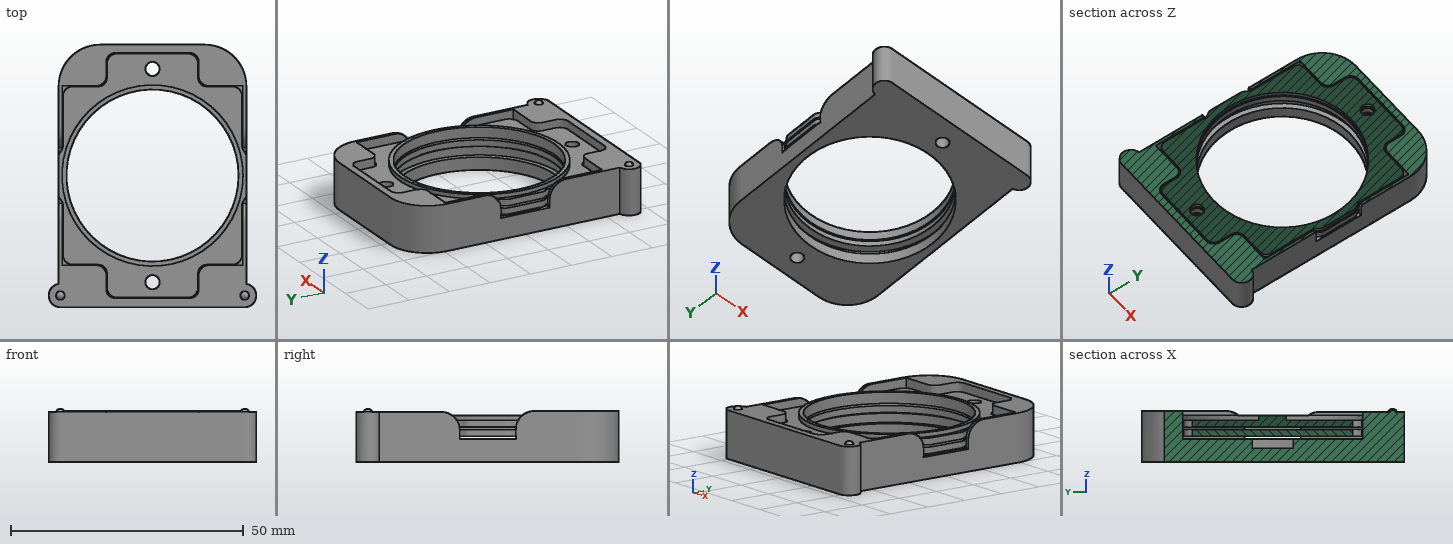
import cadquery as cq
import math


body_half_width = 20.2
body_back = 28.15
back_corner_radius = 9.0
front_height = 10.8
back_height = 11.0
body_front = -28.3
ear_half_span = 22.3
ear_radius = 2.5
ear_flat = 0.05
ear_width = 2 * ear_radius + ear_flat
ear_y = body_front + ear_width / 2

pip_sphere_radius = 1.0
pip_height = 0.65
pip_x = 19.8

pocket_floor = 5.0
pocket_half_width = 19.4
pocket_half_length = 19.3
tab_half_width = 9.95
tab_half_length = 26.35
outline_radius = 2.0

bore_diameter = 36.9
recess_diameter = 39.4
recess_floor = 3.0
hole_diameter = 3.0
hole_y = 22.9

window_half_length = 6.0
window_lip_radius = 4.0

clearance = 0.2
plate_thickness = 1.5
lower_plate_z = pocket_floor + 0.5
plate_gap = 0.5
upper_plate_z = lower_plate_z + plate_thickness + plate_gap
finger_flat_half_length = 3.9
ring_diameter = 38.9
ring_height = 1.0


def block(x_min, x_max, y_min, y_max, z_min, z_max):
    """Box given by its limits along each axis."""
    return cq.Workplane("XY").box(
        x_max - x_min, y_max - y_min, z_max - z_min, centered=False
    ).translate((x_min, y_min, z_min))


def cylinder(diameter, z_min, z_max, y=0.0):
    """Upright cylinder on the Y axis of the part."""
    return cq.Workplane("XY", origin=(0, y, z_min)).circle(diameter / 2).extrude(z_max - z_min)


def screw_holes(z_min, z_max):
    """Pair of screw holes, one at each end of the cross."""
    return cylinder(hole_diameter, z_min, z_max, hole_y).union(
        cylinder(hole_diameter, z_min, z_max, -hole_y)
    )


def tab_region():
    """Selector for everything near the tabs, which leaves out the corners of the square."""
    reach_x = tab_half_width + outline_radius
    return cq.selectors.BoxSelector((-reach_x, -body_back, 0), (reach_x, body_back, back_height))


def cross(inset, z_min, z_max):
    """Square with a narrower tab at each end; tab corners and inner corners are rounded."""
    half_width = pocket_half_width - inset
    half_length = pocket_half_length - inset
    tab_width = tab_half_width - inset
    tab_end = tab_half_length - inset
    square = block(-half_width, half_width, -half_length, half_length, z_min, z_max)
    tabs = block(-tab_width, tab_width, -tab_end, tab_end, z_min, z_max)
    return square.union(tabs).edges("|Z").edges(tab_region()).fillet(outline_radius)


def window_cutter(side):
    """Opening through one side wall, with its upper edges rounded outwards."""
    arc_mid = window_lip_radius * math.sqrt(0.5)
    lip_y = window_half_length + window_lip_radius
    back_lip_z = back_height - window_lip_radius
    front_lip_z = front_height - window_lip_radius
    profile = (
        cq.Workplane("YZ")
        .moveTo(-window_half_length, pocket_floor)
        .lineTo(window_half_length, pocket_floor)
        .lineTo(window_half_length, back_lip_z)
        .threePointArc((lip_y - arc_mid, back_lip_z + arc_mid), (lip_y, back_height))
        .lineTo(-lip_y, back_height)
        .lineTo(-lip_y, front_height)
        .threePointArc((-lip_y + arc_mid, front_lip_z + arc_mid), (-window_half_length, front_lip_z))
        .close()
    )
    inner_x = pocket_half_width - clearance
    return profile.extrude(side * (body_half_width - inner_x)).translate((side * inner_x, 0, 0))


def pip(x):
    """Low dome on an ear: the top of a sphere sunk into the housing."""
    sphere_centre_z = front_height + pip_height - pip_sphere_radius
    return cq.Workplane("XY", origin=(x, ear_y, sphere_centre_z)).sphere(pip_sphere_radius)


def make_housing():
    """Tray with a cross-shaped pocket, two eared front corners and a lower front rim."""
    body = block(-body_half_width, body_half_width, body_front, body_back, 0, back_height)
    body = body.edges("|Z and >Y").fillet(back_corner_radius)
    body = body.cut(block(-body_half_width, body_half_width, body_front, 0, front_height, back_height))
    ears = block(-ear_half_span, ear_half_span, body_front, body_front + ear_width, 0, front_height)
    ears = ears.edges("|Z").fillet(ear_radius)
    front_strip = block(-body_half_width, body_half_width, body_front, ear_y, 0, front_height)
    body = body.cut(front_strip).union(ears)
    body = body.cut(cross(0, pocket_floor, back_height))
    for side in (-1, 1):
        body = body.cut(window_cutter(side))
        body = body.union(pip(side * pip_x))
    body = body.cut(cylinder(bore_diameter, 0, recess_floor))
    body = body.cut(cylinder(recess_diameter, recess_floor, pocket_floor))
    return body.cut(screw_holes(0, pocket_floor))


def finger(side, z_min):
    """Side finger whose ends sweep back to the plate edge in two equal arcs."""
    root_x = pocket_half_width - clearance
    tip_x = body_half_width
    reach = tip_x - root_x
    sweep = math.acos(1 - reach / (2 * outline_radius))
    arc_span_y = outline_radius * math.sin(sweep)
    arc_mid_y = outline_radius * math.sin(sweep / 2)
    arc_mid_x = outline_radius * (1 - math.cos(sweep / 2))
    middle = (root_x + reach / 2, finger_flat_half_length + arc_span_y)
    tip_arc_mid = (tip_x - arc_mid_x, finger_flat_half_length + arc_mid_y)
    root = (root_x, middle[1] + arc_span_y)
    root_arc_mid = (root_x + arc_mid_x, root[1] - arc_mid_y)
    half_profile = (
        cq.Workplane("XY", origin=(0, 0, z_min))
        .moveTo(0, 0)
        .lineTo(tip_x, 0)
        .lineTo(tip_x, finger_flat_half_length)
        .threePointArc(tip_arc_mid, middle)
        .threePointArc(root_arc_mid, root)
        .lineTo(0, root[1])
        .close()
    )
    half = half_profile.extrude(plate_thickness)
    whole = half.union(half.mirror("XZ"))
    return whole if side > 0 else whole.mirror("YZ")


def make_plate(z_min):
    """Flat cross-shaped plate with two fingers, two screw holes and the bore."""
    z_max = z_min + plate_thickness
    plate = cross(clearance, z_min, z_max)
    square_corners = cq.selectors.StringSyntaxSelector("|Z") - tab_region()
    plate = plate.edges(square_corners).fillet(outline_radius)
    for side in (-1, 1):
        plate = plate.union(finger(side, z_min))
    return plate.cut(cylinder(bore_diameter, z_min, z_max)).cut(screw_holes(z_min, z_max))


def make_ringed_plate(z_min):
    """Plate with a raised ring around the bore."""
    ring_base = z_min + plate_thickness
    ring_top = ring_base + ring_height
    ring = cylinder(ring_diameter, ring_base, ring_top).cut(cylinder(bore_diameter, ring_base, ring_top))
    return make_plate(z_min).union(ring)


housing = make_housing()
lower_plate = make_plate(lower_plate_z)
upper_plate = make_ringed_plate(upper_plate_z)

result = cq.Compound.makeCompound([housing.val(), lower_plate.val(), upper_plate.val()])